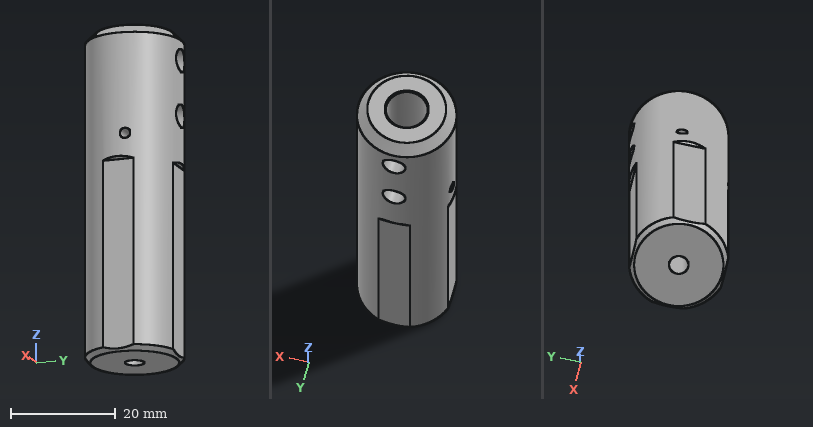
import cadquery as cq

body_diameter = 19.05
body_length = 65.0
top_chamfer = 2.0
bottom_chamfer = 1.0

bore_diameter = 8.0
bore_depth = 25.0
bore_chamfer = 0.2
through_hole_diameter = 3.7

flat_count = 4
across_flats = 18.0
flat_height = 38.0
cutter_margin = 1.0

screw_hole_diameter = 4.5
screw_hole_heights = (48.0, 59.0)

pin_hole_diameter = 2.0
pin_hole_offset = 1.5
pin_hole_height = 43.0

body_radius = body_diameter / 2


def make_body():
    body = cq.Workplane("XY").circle(body_radius).extrude(body_length)
    body = body.faces(">Z").chamfer(top_chamfer)
    return body.faces("<Z").chamfer(bottom_chamfer)


def make_bore():
    """Bore, its narrow continuation and the rim chamfer, revolved about Z."""
    bore_radius = bore_diameter / 2
    hole_radius = through_hole_diameter / 2
    bore_floor = body_length - bore_depth
    profile = (
        cq.Workplane("XZ")
        .lineTo(hole_radius, 0)
        .lineTo(hole_radius, bore_floor)
        .lineTo(bore_radius, bore_floor)
        .lineTo(bore_radius, body_length - bore_chamfer)
        .lineTo(bore_radius + bore_chamfer, body_length)
        .lineTo(0, body_length)
        .close()
    )
    return profile.revolve(360, (0, 0, 0), (0, 1, 0))


def make_flat_cutter(angle):
    """Material outside one flat; its top slopes up at 45 degrees away from the axis."""
    flat_distance = across_flats / 2
    cutter_depth = body_radius - flat_distance + cutter_margin
    outer_distance = flat_distance + cutter_depth
    cutter = (
        cq.Workplane("XZ")
        .moveTo(flat_distance, 0)
        .lineTo(outer_distance, 0)
        .lineTo(outer_distance, flat_height + cutter_depth)
        .lineTo(flat_distance, flat_height)
        .close()
        .extrude(body_radius, both=True)
    )
    return cutter.rotate((0, 0, 0), (0, 0, 1), angle)


def make_screw_hole(height):
    hole = cq.Workplane("XZ").center(0, height).circle(screw_hole_diameter / 2)
    return hole.extrude(-body_radius)


def make_pin_hole():
    hole = cq.Workplane("YZ").center(pin_hole_offset, pin_hole_height).circle(pin_hole_diameter / 2)
    return hole.extrude(body_radius, both=True)


result = make_body()
for index in range(flat_count):
    result = result.cut(make_flat_cutter(index * 360 / flat_count))
result = result.cut(make_bore())
for screw_height in screw_hole_heights:
    result = result.cut(make_screw_hole(screw_height))
result = result.cut(make_pin_hole())